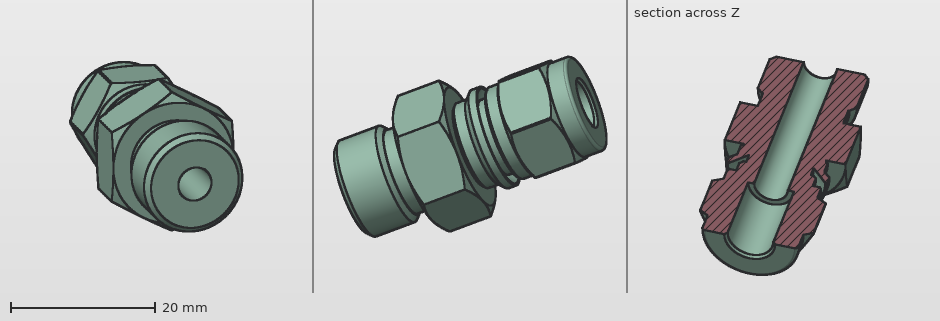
import cadquery as cq
import math

TOTAL_LENGTH = 35.65

nose_diameter = 13.9
nose_rounding = 0.45
nut_hex_start = 2.92
nut_hex_end = 10.55
nut_hex_flats = 14.3
nut_hex_corners = 16.4
collar_diameter = 13.6
collar_end = 12.6
collar_chamfer = 0.32

neck_diameter = 11.12
neck_end_diameter = 10.1
neck_end = 14.58
neck_taper = (neck_diameter - neck_end_diameter) / 2
flange_start = 13.55
flange_end = 14.75
flange_diameter = 14.6
dish_floor_diameter = 9.4
dish_depth = 2.3
shoulder_end = 15.7
shoulder_diameter = 12.6
shoulder_chamfer = 0.43

body_hex_start = 17.82
body_hex_end = 25.63
body_hex_flats = 17.45
body_hex_corners = body_hex_flats / math.cos(math.pi / 6)

relief_diameter = 12.4
thread_start = 28.15
thread_diameter = 14.3
thread_chamfer = 0.8

through_diameter = 4.8
socket_diameter = 6.55
socket_depth = 10.7
socket_chamfer = 0.4

BEVEL_SLOPE = math.tan(math.radians(30))


def cylinder(start, end, diameter):
    return cq.Workplane("YZ", origin=(start, 0, 0)).circle(diameter / 2).extrude(end - start)


def turned(profile):
    """Revolve a closed (x, radius) outline about the X axis."""
    return cq.Workplane("XY").polyline(profile).close().revolve(360, (0, 0, 0), (1, 0, 0))


def bevelled_hexagon(start, end, flats, corners, start_diameter, end_diameter, turn):
    """Hexagonal bar along X; its bevels begin at the given diameters on the end faces."""
    corner_circle = flats / math.cos(math.pi / 6)
    bar = (
        cq.Workplane("YZ", origin=(start, 0, 0))
        .transformed(rotate=(0, 0, turn))
        .polygon(6, corner_circle)
        .extrude(end - start)
    )
    start_bevel = (corners - start_diameter) / 2 * BEVEL_SLOPE
    end_bevel = (corners - end_diameter) / 2 * BEVEL_SLOPE
    envelope = turned([
        (start, 0),
        (start, start_diameter / 2),
        (start + start_bevel, corners / 2),
        (end - end_bevel, corners / 2),
        (end, end_diameter / 2),
        (end, 0),
    ])
    return bar.intersect(envelope)


def tube_nut():
    nose = cylinder(0, nut_hex_start, nose_diameter).faces("<X").edges().fillet(nose_rounding)
    hexagon = bevelled_hexagon(
        nut_hex_start, nut_hex_end, nut_hex_flats, nut_hex_corners,
        nose_diameter, collar_diameter, turn=0,
    )
    collar = cylinder(nut_hex_end, collar_end, collar_diameter)
    collar = collar.faces(">X").edges().chamfer(collar_chamfer)
    return nose.union(hexagon).union(collar)


def neck_and_shoulder():
    """Neck reaching into the dished flange, with an annular gap around its tapered end."""
    return turned([
        (collar_end, 0),
        (collar_end, neck_diameter / 2),
        (neck_end - neck_taper, neck_diameter / 2),
        (neck_end, neck_end_diameter / 2),
        (neck_end, dish_floor_diameter / 2),
        (flange_start + dish_depth, dish_floor_diameter / 2),
        (flange_start, dish_floor_diameter / 2 + dish_depth),
        (flange_start, flange_diameter / 2),
        (flange_end, flange_diameter / 2),
        (shoulder_end, shoulder_diameter / 2),
        (body_hex_start - shoulder_chamfer, shoulder_diameter / 2),
        (body_hex_start, shoulder_diameter / 2 - shoulder_chamfer),
        (body_hex_start, 0),
    ])


def body_hexagon():
    return bevelled_hexagon(
        body_hex_start, body_hex_end, body_hex_flats, body_hex_corners,
        body_hex_flats, body_hex_flats, turn=30,
    )


def threaded_end():
    relief = cylinder(body_hex_end, thread_start, relief_diameter)
    thread = cylinder(thread_start, TOTAL_LENGTH, thread_diameter)
    thread = thread.edges("%CIRCLE").chamfer(thread_chamfer)
    return relief.union(thread)


def bore():
    """Through hole with a wider tube socket and a bevelled mouth at the nut end."""
    socket_radius = socket_diameter / 2
    return turned([
        (0, 0),
        (0, socket_radius + socket_chamfer),
        (socket_chamfer, socket_radius),
        (socket_depth, socket_radius),
        (socket_depth, through_diameter / 2),
        (TOTAL_LENGTH, through_diameter / 2),
        (TOTAL_LENGTH, 0),
    ])


outside = tube_nut().union(neck_and_shoulder()).union(body_hexagon()).union(threaded_end())
result = outside.cut(bore())